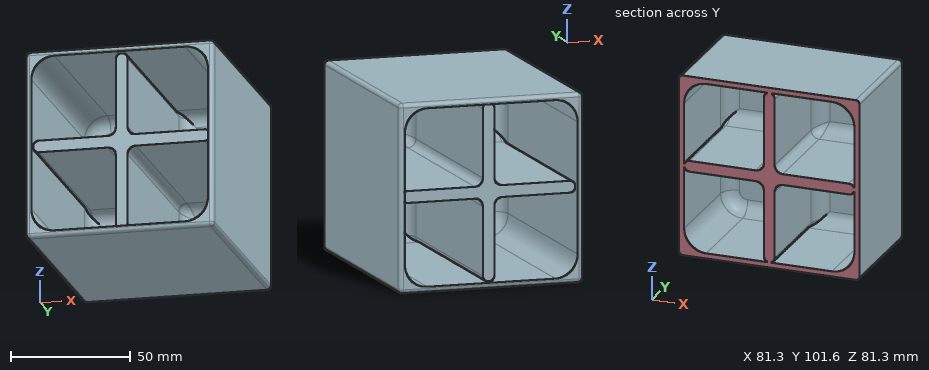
import cadquery as cq

width = 81.3
depth = 101.6
edge_radius = 1.8

wall = 2.5
cavity_corner_radius = 9.9
floor_radius = 6.1
cavity_width = width - 2 * wall
cavity_depth = depth - wall

web_thickness = 5.1
web_recess = 3.6
web_height = cavity_depth - web_recess
web_inner_radius = 3.6
tip_overlap = 0.2
web_length = cavity_width + 2 * tip_overlap

plate_width = width + 2 * floor_radius
plate_thickness = wall / 2


def sketch_at(y):
    """Workplane facing -Y at the given depth; extrude a negative length to go towards +Y."""
    return cq.Workplane("XZ", origin=(0, y, 0))


def square_block(side, y, length):
    return sketch_at(y).rect(side, side).extrude(-length)


def make_shell():
    outer = square_block(width, 0, depth).edges().fillet(edge_radius)
    cavity = square_block(cavity_width, 0, cavity_depth)
    cavity = cavity.edges("|Y").fillet(cavity_corner_radius)
    cavity = cavity.faces(">Y").edges().fillet(floor_radius)
    return outer.cut(cavity)


def box_around_axis(half_side, y_min, y_max):
    """Selector for the edges centred within half_side of the Y axis and between two depths."""
    return cq.selectors.BoxSelector((-half_side, y_min, -half_side), (half_side, y_max, half_side))


def make_divider():
    """Two crossing round-ended webs, flared into the floor and rounded where they meet."""
    divider = square_block(plate_width, cavity_depth, plate_thickness)
    for angle in (0, 90):
        web = sketch_at(web_recess).slot2D(web_length, web_thickness, angle).extrude(-web_height)
        divider = divider.union(web)

    half_plate = plate_thickness / 2
    foot = box_around_axis(width / 2, cavity_depth - half_plate, cavity_depth + half_plate)
    divider = divider.edges(foot).fillet(floor_radius)

    inner_corners = box_around_axis(web_thickness, 0, cavity_depth)
    divider = divider.edges("|Y").edges(inner_corners).fillet(web_inner_radius)

    return divider.intersect(square_block(cavity_width + wall, 0, depth))


result = make_shell().union(make_divider())